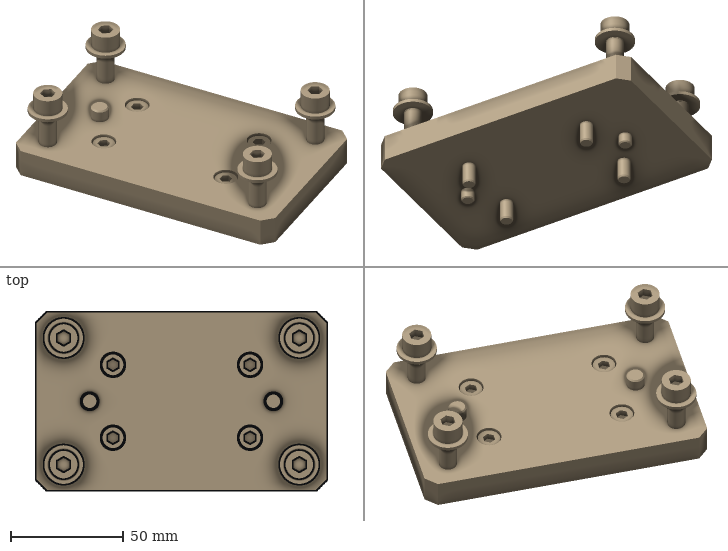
import cadquery as cq
import math

PLATE_LENGTH = 130.0
PLATE_WIDTH = 80.0
PLATE_THICKNESS = 13.0
CORNER_CUT = 5.0

CORNER_SCREW_X = 52.5
CORNER_SCREW_Y = 28.2
CORNER_HEAD_DIAMETER = 13.0
CORNER_HEAD_HEIGHT = 8.0
CORNER_SHANK_DIAMETER = 8.0
CORNER_SHANK_EXPOSED = 16.9
COLLAR_DIAMETER = 8.2
COLLAR_HEIGHT = 0.4
WASHER_DIAMETER = 18.0
WASHER_THICKNESS = 1.5
CORNER_HEX_FLATS = 6.0

SUNK_SCREW_X = 30.5
SUNK_SCREW_Y = 16.2
SUNK_HEAD_DIAMETER = 10.0
SUNK_HEAD_HEIGHT = 6.0
SUNK_SHANK_DIAMETER = 6.0
SUNK_SHANK_EXPOSED = 10.0
SUNK_TIP_HEIGHT = 0.8
SUNK_TIP_INSET = 0.4
SUNK_HEX_FLATS = 5.0
COUNTERBORE_DIAMETER = 11.0
COUNTERBORE_DEPTH = 7.0

DOWEL_X = 41.0
DOWEL_TOP_DIAMETER = 8.0
DOWEL_TOP_EXPOSED = 5.8
DOWEL_BOTTOM_DIAMETER = 6.0
DOWEL_BOTTOM_EXPOSED = 5.0
DOWEL_TOP_CHAMFER = 0.6
DOWEL_BOTTOM_CHAMFER = 0.5

SOCKET_DEPTH_RATIO = 0.5


def cylinder(diameter, bottom, height):
    """Vertical cylinder on the Z axis."""
    return cq.Workplane("XY").workplane(offset=bottom).circle(diameter / 2).extrude(height)


def hex_socket(flats, top, depth):
    """Hexagonal prism reaching down from top, with its corners on the Y axis."""
    prism = cq.Workplane("XY").polygon(6, flats / math.cos(math.pi / 6)).extrude(depth)
    return prism.rotate((0, 0, 0), (0, 0, 1), 30).translate((0, 0, top - depth))


def rectangle_points(x, y):
    """The four points at plus and minus x and y."""
    return [(sx * x, sy * y) for sx in (-1, 1) for sy in (-1, 1)]


def make_plate():
    block = cq.Workplane("XY").rect(PLATE_LENGTH, PLATE_WIDTH).extrude(PLATE_THICKNESS)
    block = block.edges("|Z").chamfer(CORNER_CUT)
    counterbores = (
        cq.Workplane("XY")
        .workplane(offset=PLATE_THICKNESS - COUNTERBORE_DEPTH)
        .pushPoints(rectangle_points(SUNK_SCREW_X, SUNK_SCREW_Y))
        .circle(COUNTERBORE_DIAMETER / 2)
        .extrude(COUNTERBORE_DEPTH)
    )
    return block.cut(counterbores)


def make_corner_screw():
    """Socket head screw with a washer on a thin collar; its shank merges into the plate."""
    washer_bottom = PLATE_THICKNESS + CORNER_SHANK_EXPOSED
    head_bottom = washer_bottom + WASHER_THICKNESS
    head_top = head_bottom + CORNER_HEAD_HEIGHT
    shank = cylinder(CORNER_SHANK_DIAMETER, 0, head_bottom)
    collar = cylinder(COLLAR_DIAMETER, washer_bottom - COLLAR_HEIGHT, COLLAR_HEIGHT)
    washer = cylinder(WASHER_DIAMETER, washer_bottom, WASHER_THICKNESS)
    head = cylinder(CORNER_HEAD_DIAMETER, head_bottom, CORNER_HEAD_HEIGHT)
    socket = hex_socket(CORNER_HEX_FLATS, head_top, CORNER_HEAD_HEIGHT * SOCKET_DEPTH_RATIO)
    return shank.union(collar).union(washer).union(head).cut(socket)


def make_sunk_screw():
    """Socket head screw seated on the counterbore floor, with a tapered tip."""
    seat = PLATE_THICKNESS - COUNTERBORE_DEPTH
    head_top = seat + SUNK_HEAD_HEIGHT
    shank = cylinder(SUNK_SHANK_DIAMETER, -SUNK_SHANK_EXPOSED, SUNK_SHANK_EXPOSED + seat)
    shank = shank.faces("<Z").chamfer(SUNK_TIP_HEIGHT, SUNK_TIP_INSET)
    head = cylinder(SUNK_HEAD_DIAMETER, seat, SUNK_HEAD_HEIGHT)
    socket = hex_socket(SUNK_HEX_FLATS, head_top, SUNK_HEAD_HEIGHT * SOCKET_DEPTH_RATIO)
    return shank.union(head).cut(socket)


def make_dowel():
    """Stepped pin, wide above the plate and narrow below it, chamfered at both ends."""
    joint = PLATE_THICKNESS / 2
    top = cylinder(DOWEL_TOP_DIAMETER, joint, joint + DOWEL_TOP_EXPOSED)
    top = top.faces(">Z").chamfer(DOWEL_TOP_CHAMFER)
    bottom = cylinder(DOWEL_BOTTOM_DIAMETER, -DOWEL_BOTTOM_EXPOSED, DOWEL_BOTTOM_EXPOSED + joint)
    bottom = bottom.faces("<Z").chamfer(DOWEL_BOTTOM_CHAMFER)
    return top.union(bottom)


result = make_plate()
fasteners = [
    (make_corner_screw(), rectangle_points(CORNER_SCREW_X, CORNER_SCREW_Y)),
    (make_sunk_screw(), rectangle_points(SUNK_SCREW_X, SUNK_SCREW_Y)),
    (make_dowel(), [(-DOWEL_X, 0), (DOWEL_X, 0)]),
]
for fastener, points in fasteners:
    for x, y in points:
        result = result.union(fastener.translate((x, y, 0)))